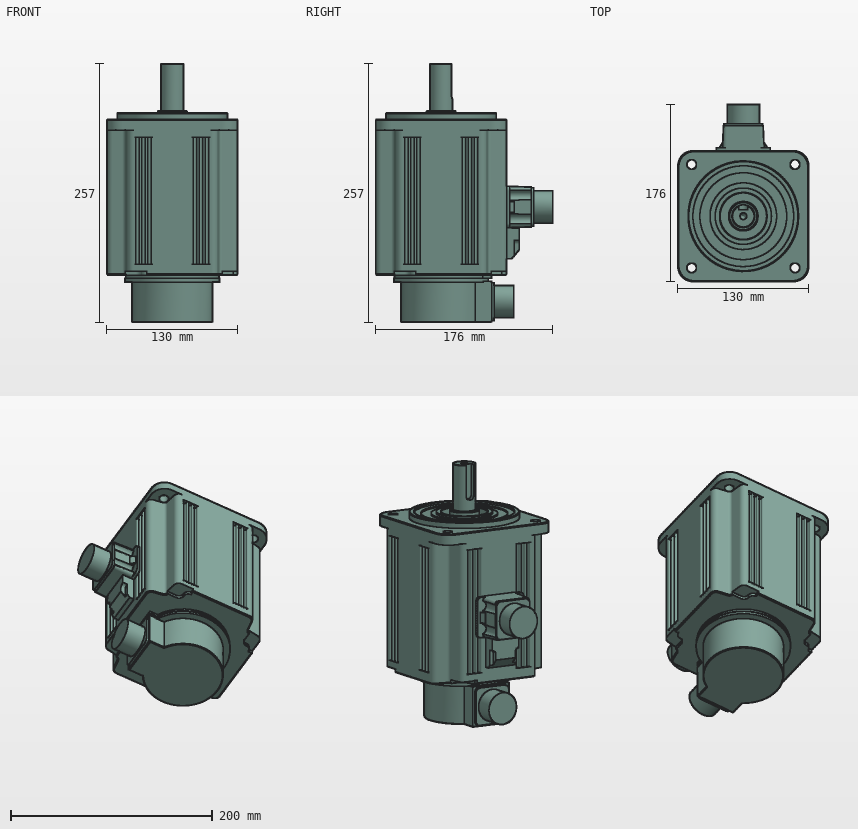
import cadquery as cq
import math


CAP_TOP = 40.0
LOWER_DISC_TOP = 43.7
BRACKET_BOTTOM = 47.0
BODY_BOTTOM = 57.8
BODY_TOP = 184.0
FLANGE_BOTTOM = 191.0
FLANGE_TOP = 202.0
PILOT_TOP = 208.2
COLLAR_TOP = 210.5
SHAFT_TOP = 257.0

HALF_SIDE = 65.0
FLANGE_CORNER_RADIUS = 15.2
FLANGE_CHAMFER = 1.0
BRACKET_CHAMFER = 1.0
BOLT_OFFSET = 51.5
BOLT_DIAMETER = 9.3

FACE_HALF_WIDTH = 38.8
LIP_RADIUS = 6.2
RELIEF_DRAFT = 9.7
RELIEF_INNER_RADIUS = 3.3

GROOVE_FIRST = 22.5
GROOVE_PITCH = 6.0
GROOVES_PER_GROUP = 3
GROOVE_WIDTH = 3.5
GROOVE_DEPTH = 4.0
GROOVE_LIP = 0.8

POCKET_HEIGHT = 3.5
POCKET_FLOOR = 49.5
POCKET_START = 48.8
POCKET_END = 25.5
POCKET_ARC = 5.5

PILOT_RADIUS = 55.0
PILOT_CHAMFER = 0.8
STEP_RADIUS = 50.0
STEP_DEPTH = 1.8
RING_OUTER_RADIUS = 43.2
RING_INNER_RADIUS = 33.2
RING_DEPTH = 3.0
HUB_RADIUS = 28.0
WELL_RADIUS = 23.1
WELL_DEPTH = 9.5
WELL_CHAMFER = 0.5

SHAFT_RADIUS = 11.3
SHAFT_CHAMFER = 0.5
COLLAR_RADIUS = 14.6
COLLAR_CHAMFER = 1.0
KEY_WIDTH = 8.7
KEY_FLOOR = 6.2
KEY_LENGTH = 35.5
CENTER_HOLE_DIAMETER = 6.7
CENTER_HOLE_DEPTH = 6.0

CAP_RADIUS = 40.0
CAP_CHAMFER = 0.8
LOWER_DISC_RADIUS = 47.0
UPPER_DISC_RADIUS = 46.5
TERMINAL_HALF_WIDTH = 21.3
TERMINAL_END = 50.0
TERMINAL_HEIGHT = 40.9
ENCODER_PLATE_HALF = 19.0
ENCODER_PLATE_END = 52.7
ENCODER_PLUG_END = 72.2
ENCODER_PLUG_Z = 20.5

PLUG_RADIUS = 16.2
PLATE_CORNER = 4.4
POWER_Z = 114.5
POWER_FLANGE_HALF_WIDTH = 27.0
POWER_FLANGE_HALF_HEIGHT = 20.5
POWER_FLANGE_CORNER = 4.0
POWER_FLANGE_END = 68.0
SHELL_HALF = 20.8
SHELL_CORNER = 4.0
SHELL_END = 89.7
SHELL_DRAFT = 2.2
SCALLOP_Z = 11.8
SCALLOP_CHORD = 10.0
SCALLOP_DEPTH = 3.9
RIB_HALF_WIDTH = 5.5
RIB_REACH = 3.0
RIB_RISE = 4.5
POWER_PLATE_HALF = 19.3
POWER_PLATE_END = 92.0
POWER_PLUG_END = 111.0

BLOCK_HALF_WIDTH = 15.5
BLOCK_END = 77.5
BLOCK_BOTTOM = 63.0
BLOCK_SLOPE_START = 72.0
BLOCK_NOSE = 70.0
BLOCK_STEP_TOP = 81.7
BLOCK_STEP_FLOOR = 72.7
BLOCK_STEP_WIDTH = 4.0


def disc(radius, bottom, top):
    return cq.Workplane("XY").workplane(offset=bottom).circle(radius).extrude(top - bottom)


def box_along_y(half_width, half_height, start, end, z_center, corner):
    """Block with rounded lengthwise edges, lying along Y."""
    block = cq.Workplane("XY").box(2 * half_width, end - start, 2 * half_height)
    return block.edges("|Y").fillet(corner).translate((0, (start + end) / 2, z_center))


def plug(start, end, z_center):
    return cq.Workplane("XZ", origin=(0, start, z_center)).circle(PLUG_RADIUS).extrude(start - end)


def around_sides(solid):
    """The solid repeated on the four side faces."""
    sides = solid
    for quarter in range(1, 4):
        sides = sides.union(solid.rotate((0, 0, 0), (0, 0, 1), 90 * quarter))
    return sides


def corner_relief():
    """Bolt clearance at the +X +Y corner, with tangent arcs, symmetric about the diagonal."""
    outside = HALF_SIDE + 2.5
    cos_draft = math.cos(math.radians(RELIEF_DRAFT))
    sin_draft = math.sin(math.radians(RELIEF_DRAFT))
    lip_end = (
        FACE_HALF_WIDTH + LIP_RADIUS * cos_draft,
        HALF_SIDE - LIP_RADIUS * (1 - sin_draft),
    )
    wall_distance = lip_end[0] * cos_draft + lip_end[1] * sin_draft
    inner_center = (wall_distance + RELIEF_INNER_RADIUS) / (cos_draft + sin_draft)
    inner_end = (
        inner_center - RELIEF_INNER_RADIUS * cos_draft,
        inner_center - RELIEF_INNER_RADIUS * sin_draft,
    )
    profile = (
        cq.Workplane("XY")
        .workplane(offset=BRACKET_BOTTOM)
        .moveTo(FACE_HALF_WIDTH, outside)
        .lineTo(FACE_HALF_WIDTH, HALF_SIDE)
        .radiusArc(lip_end, LIP_RADIUS)
        .lineTo(*inner_end)
        .radiusArc(inner_end[::-1], -RELIEF_INNER_RADIUS)
        .lineTo(*lip_end[::-1])
        .radiusArc((HALF_SIDE, FACE_HALF_WIDTH), LIP_RADIUS)
        .lineTo(outside, FACE_HALF_WIDTH)
        .lineTo(outside, outside)
        .close()
    )
    return profile.extrude(FLANGE_BOTTOM - BRACKET_BOTTOM)


def groove(x):
    """Round-bottomed groove with rounded lips in the -Y face."""
    half = GROOVE_WIDTH / 2
    lip_level = -HALF_SIDE + GROOVE_LIP
    floor_start = -HALF_SIDE + GROOVE_DEPTH - half
    profile = (
        cq.Workplane("XY")
        .workplane(offset=BODY_BOTTOM)
        .moveTo(x - half - GROOVE_LIP, -HALF_SIDE)
        .radiusArc((x - half, lip_level), -GROOVE_LIP)
        .lineTo(x - half, floor_start)
        .threePointArc((x, floor_start + half), (x + half, floor_start))
        .lineTo(x + half, lip_level)
        .radiusArc((x + half + GROOVE_LIP, -HALF_SIDE), -GROOVE_LIP)
        .close()
    )
    return profile.extrude(BODY_TOP - BODY_BOTTOM)


def side_grooves():
    grooves = cq.Workplane("XY")
    for index in range(GROOVES_PER_GROUP):
        x = GROOVE_FIRST + index * GROOVE_PITCH
        grooves = grooves.union(groove(x)).union(groove(-x))
    return grooves


def pry_pocket():
    """Shallow pocket under the -X end of the -Y face, with an S-shaped inner end."""
    outside = HALF_SIDE + 2.5
    middle = (-POCKET_END - POCKET_ARC, -POCKET_FLOOR - POCKET_ARC)
    profile = (
        cq.Workplane("XY")
        .workplane(offset=BRACKET_BOTTOM)
        .moveTo(-POCKET_START, -outside)
        .lineTo(-POCKET_START, -POCKET_FLOOR)
        .lineTo(middle[0] - POCKET_ARC, -POCKET_FLOOR)
        .radiusArc(middle, POCKET_ARC)
        .radiusArc((-POCKET_END, middle[1] - POCKET_ARC), -POCKET_ARC)
        .lineTo(-POCKET_END, -outside)
        .close()
    )
    return profile.extrude(POCKET_HEIGHT)


def motor_body():
    height = FLANGE_TOP - BRACKET_BOTTOM
    body = cq.Workplane("XY").workplane(offset=BRACKET_BOTTOM)
    body = body.rect(2 * HALF_SIDE, 2 * HALF_SIDE).extrude(height)
    body = body.edges("|Z").fillet(FLANGE_CORNER_RADIUS)
    body = body.faces(">Z").edges().chamfer(FLANGE_CHAMFER)
    body = body.cut(around_sides(corner_relief()))
    body = body.faces("<Z").edges().chamfer(BRACKET_CHAMFER)
    body = body.cut(around_sides(side_grooves()))
    body = body.cut(around_sides(pry_pocket()))
    bolts = (
        cq.Workplane("XY")
        .workplane(offset=BRACKET_BOTTOM)
        .rect(2 * BOLT_OFFSET, 2 * BOLT_OFFSET, forConstruction=True)
        .vertices()
        .circle(BOLT_DIAMETER / 2)
        .extrude(height)
    )
    return body.cut(bolts)


def pilot():
    """Spigot disc with a shallow step around a central hub and a ring sunk into the step."""
    step_level = PILOT_TOP - STEP_DEPTH
    ring_level = PILOT_TOP - RING_DEPTH
    body = disc(PILOT_RADIUS, FLANGE_TOP, PILOT_TOP).faces(">Z").edges().chamfer(PILOT_CHAMFER)
    step = disc(STEP_RADIUS, step_level, PILOT_TOP).cut(disc(HUB_RADIUS, step_level, PILOT_TOP))
    ring = disc(RING_OUTER_RADIUS, ring_level, step_level)
    ring = ring.cut(disc(RING_INNER_RADIUS, ring_level, step_level))
    return body.cut(step).cut(ring)


def shaft_well():
    """Round well with a chamfered rim."""
    floor = PILOT_TOP - WELL_DEPTH
    profile = (
        cq.Workplane("XZ")
        .moveTo(0, floor)
        .lineTo(WELL_RADIUS, floor)
        .lineTo(WELL_RADIUS, PILOT_TOP - WELL_CHAMFER)
        .lineTo(WELL_RADIUS + WELL_CHAMFER, PILOT_TOP)
        .lineTo(0, PILOT_TOP)
        .close()
    )
    return profile.revolve(360, (0, 0), (0, 1))


def keyway():
    """Slot open at the shaft end, with a half-round lower end."""
    half = KEY_WIDTH / 2
    round_start = SHAFT_TOP - KEY_LENGTH + half
    profile = (
        cq.Workplane("XZ", origin=(0, KEY_FLOOR, 0))
        .moveTo(-half, SHAFT_TOP)
        .lineTo(-half, round_start)
        .threePointArc((0, round_start - half), (half, round_start))
        .lineTo(half, SHAFT_TOP)
        .close()
    )
    return profile.extrude(-SHAFT_RADIUS)


def center_hole():
    """Conical centre in the shaft end."""
    profile = (
        cq.Workplane("XZ")
        .moveTo(0, SHAFT_TOP)
        .lineTo(CENTER_HOLE_DIAMETER / 2, SHAFT_TOP)
        .lineTo(0, SHAFT_TOP - CENTER_HOLE_DEPTH)
        .close()
    )
    return profile.revolve(360, (0, 0), (0, 1))


def shaft():
    well_floor = PILOT_TOP - WELL_DEPTH
    body = disc(SHAFT_RADIUS, well_floor, SHAFT_TOP).faces(">Z").edges().chamfer(SHAFT_CHAMFER)
    collar = disc(COLLAR_RADIUS, well_floor, COLLAR_TOP).faces(">Z").edges().chamfer(COLLAR_CHAMFER)
    return body.union(collar).cut(keyway()).cut(center_hole())


def terminal(bottom, top):
    """Flat-sided block reaching from the axis toward +Y."""
    block = cq.Workplane("XY").workplane(offset=bottom)
    return block.center(0, TERMINAL_END / 2).rect(2 * TERMINAL_HALF_WIDTH, TERMINAL_END).extrude(top - bottom)


def encoder():
    body = disc(CAP_RADIUS, 0, CAP_TOP).union(terminal(0, TERMINAL_HEIGHT))
    body = body.faces("<Z").edges().chamfer(CAP_CHAMFER)
    body = body.union(disc(LOWER_DISC_RADIUS, CAP_TOP, LOWER_DISC_TOP))
    body = body.union(disc(UPPER_DISC_RADIUS, LOWER_DISC_TOP, BRACKET_BOTTOM))
    body = body.union(terminal(LOWER_DISC_TOP, BRACKET_BOTTOM))
    plate = box_along_y(
        ENCODER_PLATE_HALF, ENCODER_PLATE_HALF, TERMINAL_END, ENCODER_PLATE_END, ENCODER_PLUG_Z, PLATE_CORNER
    )
    return body.union(plate).union(plug(ENCODER_PLATE_END, ENCODER_PLUG_END, ENCODER_PLUG_Z))


def power_shell():
    """Drafted shell rising through the mounting flange, with two screw scallops down each side."""
    length = SHELL_END - HALF_SIDE
    section = cq.Sketch().rect(2 * SHELL_HALF, 2 * SHELL_HALF).vertices().fillet(SHELL_CORNER)
    shell = cq.Workplane("XZ", origin=(0, HALF_SIDE, POWER_Z)).placeSketch(section)
    shell = shell.extrude(-length, taper=SHELL_DRAFT)
    scallop_radius = (SCALLOP_CHORD ** 2 / 4 + SCALLOP_DEPTH ** 2) / (2 * SCALLOP_DEPTH)
    scallop_x = SHELL_HALF - SCALLOP_DEPTH + scallop_radius
    scallops = (
        cq.Workplane("XZ", origin=(0, HALF_SIDE, POWER_Z))
        .rect(2 * scallop_x, 2 * SCALLOP_Z, forConstruction=True)
        .vertices()
        .circle(scallop_radius)
        .extrude(-length)
    )
    return shell.cut(scallops)


def power_ribs():
    """Triangular ribs between the shell sides and the mounting flange."""
    inner = SHELL_HALF - RIB_REACH
    ribs = (
        cq.Workplane("XY")
        .workplane(offset=POWER_Z - RIB_HALF_WIDTH)
        .moveTo(-SHELL_HALF - RIB_REACH, POWER_FLANGE_END)
        .lineTo(-SHELL_HALF, POWER_FLANGE_END + RIB_RISE)
        .lineTo(-inner, POWER_FLANGE_END + RIB_RISE)
        .lineTo(-inner, POWER_FLANGE_END)
        .close()
        .extrude(2 * RIB_HALF_WIDTH)
    )
    return ribs.union(ribs.mirror("YZ"))


def power_connector():
    body = box_along_y(
        POWER_FLANGE_HALF_WIDTH,
        POWER_FLANGE_HALF_HEIGHT,
        HALF_SIDE,
        POWER_FLANGE_END,
        POWER_Z,
        POWER_FLANGE_CORNER,
    )
    plate = box_along_y(POWER_PLATE_HALF, POWER_PLATE_HALF, SHELL_END, POWER_PLATE_END, POWER_Z, PLATE_CORNER)
    body = body.union(power_shell()).union(power_ribs())
    return body.union(plate).union(plug(POWER_PLATE_END, POWER_PLUG_END, POWER_Z))


def terminal_block():
    """Block with a sloped lower nose and a step along each lower side."""
    top = POWER_Z - SHELL_HALF
    block = (
        cq.Workplane("YZ")
        .moveTo(HALF_SIDE, top)
        .lineTo(BLOCK_END, top)
        .lineTo(BLOCK_END, BLOCK_SLOPE_START)
        .lineTo(BLOCK_NOSE, BLOCK_BOTTOM)
        .lineTo(HALF_SIDE, BLOCK_BOTTOM)
        .close()
        .extrude(BLOCK_HALF_WIDTH, both=True)
    )
    step_side = -BLOCK_HALF_WIDTH + BLOCK_STEP_WIDTH
    step = (
        cq.Workplane("XZ", origin=(0, BLOCK_STEP_FLOOR, 0))
        .moveTo(-BLOCK_HALF_WIDTH, BLOCK_STEP_TOP)
        .radiusArc((step_side, BLOCK_STEP_TOP - BLOCK_STEP_WIDTH), BLOCK_STEP_WIDTH)
        .lineTo(step_side, BLOCK_BOTTOM)
        .lineTo(-BLOCK_HALF_WIDTH, BLOCK_BOTTOM)
        .close()
        .extrude(BLOCK_STEP_FLOOR - BLOCK_END)
    )
    return block.cut(step).cut(step.mirror("YZ"))


result = motor_body().union(pilot()).cut(shaft_well()).union(shaft())
result = result.union(encoder()).union(power_connector()).union(terminal_block())